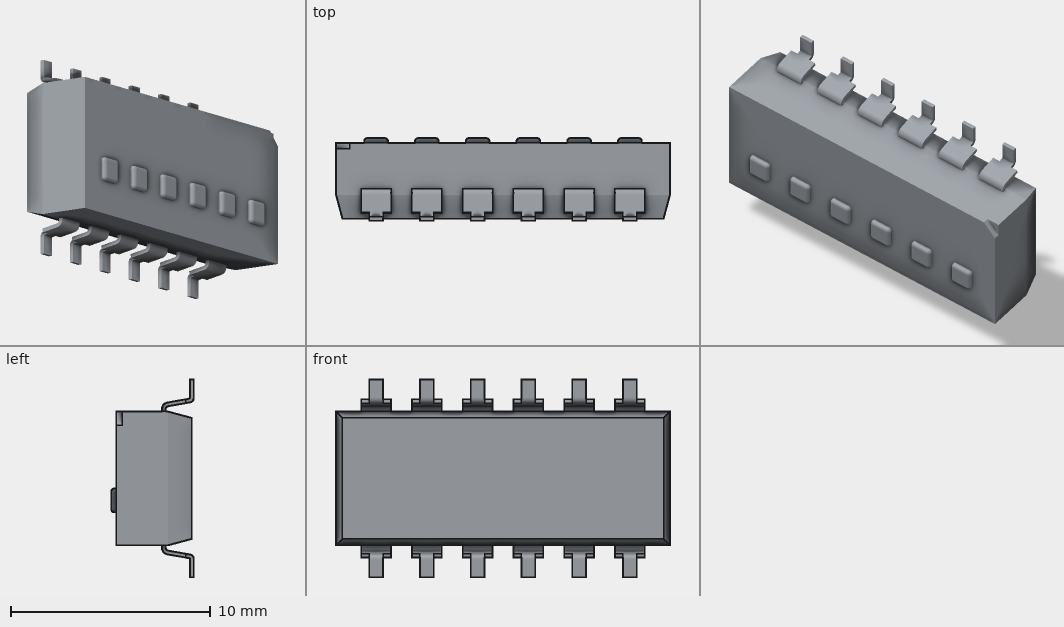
import cadquery as cq
import math


overall_depth = 4.15
lead_span = 9.9

body_length = 16.71
body_height = 6.7
body_front_y = 0.1
taper_depth = 1.2
taper_angle = math.radians(15)
taper_inset = taper_depth * math.tan(taper_angle)
actuator_projection = 0.25
body_back_y = overall_depth - actuator_projection
taper_start_y = body_front_y + taper_depth

notch_leg = 0.7
notch_depth = 0.3

position_count = 6
pitch = 2.54

actuator_size = 1.2
actuator_offset_z = -1.1
actuator_rounding = 0.18
actuator_embed = 0.2

lead_thickness = 0.2
lead_width = 1.5
foot_width = 0.7
lead_exit_y = 1.51
lead_embed = 0.5
lead_straight = 0.11
exit_bend_radius = 0.25
foot_bend_radius = 0.15
shoulder_y = 0.41
ramp_angle = math.radians(10)
bend_angle = math.pi / 2 - ramp_angle


def make_body():
    straight_depth = body_back_y - taper_start_y
    block = (
        cq.Workplane("XZ", origin=(0, body_back_y, 0))
        .rect(body_length, body_height)
        .extrude(straight_depth)
    )
    taper = (
        cq.Workplane("XZ", origin=(0, taper_start_y, 0))
        .rect(body_length, body_height)
        .workplane(offset=taper_depth)
        .rect(body_length - 2 * taper_inset, body_height - 2 * taper_inset)
        .loft(combine=True)
    )
    return block.union(taper)


def make_notch():
    """Triangular prism removed from the -X, +Y, +Z corner."""
    left = -body_length / 2
    top = body_height / 2
    return (
        cq.Workplane("XZ", origin=(0, body_back_y, 0))
        .polyline([(left, top), (left + notch_leg, top), (left, top - notch_leg)])
        .close()
        .extrude(notch_depth)
    )


def make_actuator(x):
    """Square button with rounded corners and a rounded outer rim."""
    return (
        cq.Workplane("XZ", origin=(x, overall_depth, actuator_offset_z))
        .rect(actuator_size, actuator_size)
        .extrude(actuator_projection + actuator_embed)
        .edges("|Y or >Y")
        .fillet(actuator_rounding)
    )


def polar(centre, radius, angle):
    """Point in the YZ plane at an angle measured from +Y towards +Z."""
    return (centre[0] + radius * math.cos(angle), centre[1] + radius * math.sin(angle))


def make_upper_lead(x):
    """Gull-wing lead leaving the +Z side: a wide root and a narrow foot."""
    half = lead_thickness / 2

    root_z = body_height / 2 - lead_embed
    exit_centre = (lead_exit_y - exit_bend_radius, body_height / 2 + lead_straight)
    exit_outer = exit_bend_radius + half
    exit_inner = exit_bend_radius - half
    exit_mid = bend_angle / 2

    ramp_start_y, ramp_start_z = polar(exit_centre, exit_bend_radius, bend_angle)
    root_drop = ramp_start_y - shoulder_y
    root_rise = root_drop * math.tan(ramp_angle)

    foot_outer = foot_bend_radius + half
    foot_inner = foot_bend_radius - half
    ramp_end_y = foot_outer - foot_bend_radius * math.cos(bend_angle)
    ramp_end_z = ramp_start_z + (ramp_start_y - ramp_end_y) * math.tan(ramp_angle)
    foot_centre = (foot_outer, ramp_end_z + foot_bend_radius * math.sin(bend_angle))
    foot_side = math.pi
    foot_mid = foot_side + bend_angle / 2
    foot_low = foot_side + bend_angle
    tip_z = lead_span / 2

    def start_root(width):
        """Outline of the root from inside the body round the outside of the exit bend."""
        return (
            cq.Workplane("YZ", origin=(x - width / 2, 0, 0))
            .moveTo(lead_exit_y + half, root_z)
            .lineTo(*polar(exit_centre, exit_outer, 0))
            .threePointArc(
                polar(exit_centre, exit_outer, exit_mid),
                polar(exit_centre, exit_outer, bend_angle),
            )
        )

    def finish_root(outline, width):
        """Return round the inside of the exit bend, close the outline and extrude it."""
        return (
            outline.lineTo(*polar(exit_centre, exit_inner, bend_angle))
            .threePointArc(
                polar(exit_centre, exit_inner, exit_mid),
                polar(exit_centre, exit_inner, 0),
            )
            .lineTo(lead_exit_y - half, root_z)
            .close()
            .extrude(width)
        )

    root_outline = (
        start_root(lead_width)
        .line(-root_drop, root_rise)
        .line(-lead_thickness * math.sin(ramp_angle), -lead_thickness * math.cos(ramp_angle))
    )
    root = finish_root(root_outline, lead_width)

    foot_outline = (
        start_root(foot_width)
        .lineTo(*polar(foot_centre, foot_inner, foot_low))
        .threePointArc(
            polar(foot_centre, foot_inner, foot_mid),
            polar(foot_centre, foot_inner, foot_side),
        )
        .lineTo(lead_thickness, tip_z)
        .lineTo(0, tip_z)
        .lineTo(*polar(foot_centre, foot_outer, foot_side))
        .threePointArc(
            polar(foot_centre, foot_outer, foot_mid),
            polar(foot_centre, foot_outer, foot_low),
        )
    )
    foot = finish_root(foot_outline, foot_width)
    return root.union(foot)


result = make_body().cut(make_notch())
for index in range(position_count):
    position_x = (index - (position_count - 1) / 2) * pitch
    upper_lead = make_upper_lead(position_x)
    lower_lead = upper_lead.mirror("XY")
    result = result.union(make_actuator(position_x)).union(upper_lead).union(lower_lead)